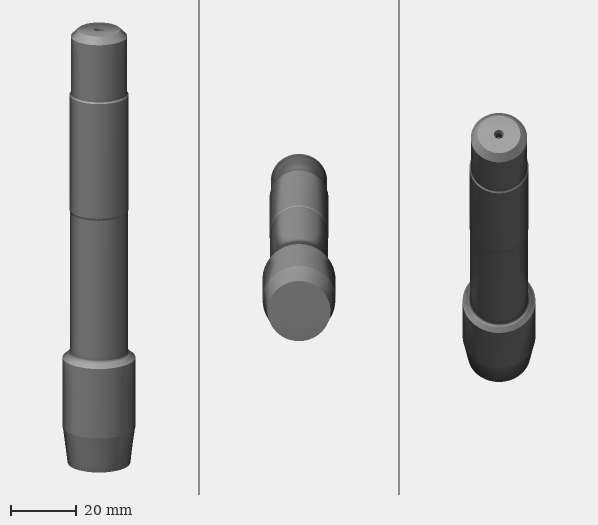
import cadquery as cq

total_height = 140.0
nose_height = 11.6
head_rim_height = 34.0
head_top_height = 35.3
collar_bottom_height = 81.9
collar_top_height = 119.4

head_diameter = 22.3
head_top_diameter = 19.0
shank_diameter = 17.6
collar_diameter = 18.0
tip_diameter = 17.2
nose_top_diameter = 22.1
nose_end_diameter = 19.2

fillet_radius = 0.8
collar_taper_height = 0.7
collar_top_chamfer = (collar_diameter - tip_diameter) / 2
tip_chamfer = 2.1

center_hole_diameter = 2.0
countersink_diameter = 3.1
countersink_depth = 1.1
center_hole_depth = 3.5


def make_nose():
    """Tapered nose whose wide end sits against the underside of the head."""
    return (
        cq.Workplane("XZ")
        .polyline([
            (0, 0),
            (nose_end_diameter / 2, 0),
            (nose_top_diameter / 2, nose_height),
            (0, nose_height),
        ])
        .close()
        .revolve(360, (0, 0, 0), (0, 1, 0))
    )


def make_stud_blank():
    """Turned stud: head, filleted shank, raised collar and chamfered tip."""
    head_radius = head_diameter / 2
    shank_radius = shank_diameter / 2
    collar_radius = collar_diameter / 2
    tip_radius = tip_diameter / 2
    fillet_center = (shank_radius + fillet_radius, head_top_height + fillet_radius)
    fillet_middle = tuple(c - fillet_radius * 0.5 ** 0.5 for c in fillet_center)
    return (
        cq.Workplane("XZ")
        .moveTo(0, nose_height)
        .lineTo(head_radius, nose_height)
        .lineTo(head_radius, head_rim_height)
        .lineTo(head_top_diameter / 2, head_top_height)
        .lineTo(fillet_center[0], head_top_height)
        .threePointArc(fillet_middle, (shank_radius, fillet_center[1]))
        .lineTo(shank_radius, collar_bottom_height - collar_taper_height)
        .lineTo(collar_radius, collar_bottom_height)
        .lineTo(collar_radius, collar_top_height - collar_top_chamfer)
        .lineTo(tip_radius, collar_top_height)
        .lineTo(tip_radius, total_height - tip_chamfer)
        .lineTo(tip_radius - tip_chamfer, total_height)
        .lineTo(0, total_height)
        .close()
        .revolve(360, (0, 0, 0), (0, 1, 0))
    )


def make_center_hole():
    """Countersunk blind hole in the tip, as a solid to cut away."""
    hole_radius = center_hole_diameter / 2
    return (
        cq.Workplane("XZ")
        .polyline([
            (0, total_height),
            (countersink_diameter / 2, total_height),
            (hole_radius, total_height - countersink_depth),
            (hole_radius, total_height - center_hole_depth),
            (0, total_height - center_hole_depth),
        ])
        .close()
        .revolve(360, (0, 0, 0), (0, 1, 0))
    )


nose = make_nose()
stud = make_stud_blank().cut(make_center_hole())

result = cq.Compound.makeCompound([nose.val(), stud.val()])